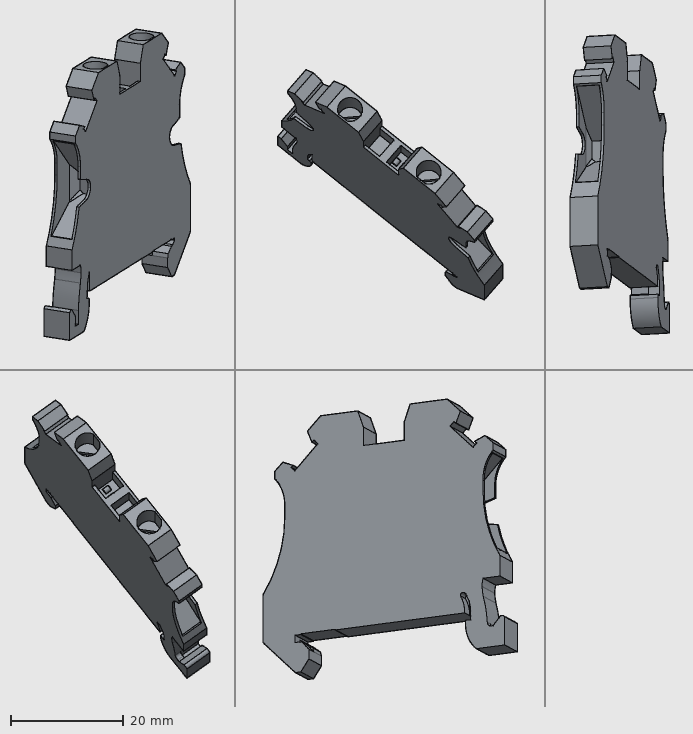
import cadquery as cq
import math


thickness = 5.15
length = 48.0
height = 46.85
rear_y = length / 2
front_y = -length / 2

skin = 0.5
cavity_x0 = skin
cavity_x1 = thickness - skin
cavity_width = cavity_x1 - cavity_x0

waist_y = 19.7
waist_top_z = 31.3
waist_bottom_z = 29.0
ear_radius = 7.25
flank_radius = 24.3
ear_y = 21.7

notch_half = 4.05
notch_floor_z = 40.3
notch_flare_z = 43.7
tower_inner_y = 5.2
tower_outer_y = 12.55

rail_z = 6.9
relief_y0 = 9.7
relief_y1 = 16.5
relief_depth = 0.13
foot_step_x = 2.0

hook_gap_y = 17.6
hook_tip_y = 14.9
hook_tip_top_z = 4.0
hook_tip_bottom_z = 2.2
hook_base_y = 16.5
hook_base_rear_y = 17.6
hook_rear_z = 6.3

ledge_y = -23.05
ledge_z = 12.85
slot_y = -16.05
slot_top = (-16.2, 10.4)
clip_root = (-19.7, ledge_z)
clip_waist = (-19.5, 11.35)
clip_bend = (-19.75, 9.5)
clip_valley_start = (-20.55, 4.6)
clip_valley_z = 3.85
clip_valley_y0 = -21.3
clip_valley_y1 = -21.7
clip_lip = (-23.15, 5.5)
clip_lip_front_z = 5.2
clip_base_y = -18.35
clip_nose_y = -16.2
clip_nose_bottom_z = 4.9
clip_nose_z = 5.5
clip_neck_z = 7.1


def arc_drop(radius, rise):
    """Sideways departure of an arc from its tangent after a given rise."""
    return radius - math.sqrt(radius**2 - rise**2)


def arc_rise(radius, drop):
    """Distance along the tangent at which an arc has departed by a given drop."""
    return math.sqrt(radius**2 - (radius - drop)**2)


def middle(a, b):
    return (a + b) / 2


def ear_point(z):
    return (waist_y + arc_drop(ear_radius, z - waist_top_z), z)


def flank_point(z):
    return (waist_y + arc_drop(flank_radius, waist_bottom_z - z), z)


def mirrored(point):
    return (-point[0], point[1])


ear_bottom_z = waist_top_z + arc_rise(ear_radius, ear_y - waist_y)
rear_flank_z = waist_bottom_z - arc_rise(flank_radius, rear_y - waist_y)
front_flank_z = waist_bottom_z - arc_rise(flank_radius, -ledge_y - waist_y)

upper_edge = [
    (ear_y, ear_bottom_z),
    (ear_y, 37.65),
    (20.05, 39.2),
    (18.0, 38.35),
    (18.4, 38.0),
    (17.7, 37.3),
    (13.15, 41.75),
    (13.9, 42.5),
    (14.3, 42.15),
    (15.2, 44.3),
    (tower_outer_y, height),
    (tower_inner_y, height),
    (notch_half, notch_flare_z),
    (notch_half, notch_floor_z),
]


def body_outline(hook_top, clip_inner_edge):
    """Outline of the block, starting at the rear flank and going over the top to the front.

    hook_top lists the points along the top of the fixed hook,
    clip_inner_edge draws the spring clip from its nose to the rail underside.
    """
    outline = (
        cq.Workplane("YZ")
        .moveTo(rear_y, rear_flank_z)
        .threePointArc(
            flank_point(middle(rear_flank_z, waist_bottom_z)), flank_point(waist_bottom_z)
        )
        .lineTo(*ear_point(waist_top_z))
        .threePointArc(ear_point(middle(waist_top_z, ear_bottom_z)), upper_edge[0])
    )
    for point in upper_edge[1:]:
        outline = outline.lineTo(*point)
    for point in reversed(upper_edge):
        outline = outline.lineTo(*mirrored(point))
    outline = (
        outline
        .threePointArc(
            mirrored(ear_point(middle(waist_top_z, ear_bottom_z))),
            mirrored(ear_point(waist_top_z)),
        )
        .lineTo(*mirrored(flank_point(waist_bottom_z)))
        .threePointArc(
            mirrored(flank_point(middle(front_flank_z, waist_bottom_z))),
            (ledge_y, front_flank_z),
        )
        .lineTo(ledge_y, ledge_z)
        .lineTo(*clip_root)
        .threePointArc((-19.55, 12.1), clip_waist)
        .threePointArc((-19.6, 10.4), clip_bend)
        .threePointArc((-20.25, 7.2), clip_valley_start)
        .threePointArc((-20.8, 4.05), (clip_valley_y0, clip_valley_z))
        .lineTo(clip_valley_y1, clip_valley_z)
        .lineTo(*clip_lip)
        .threePointArc((-23.7, 5.47), (front_y, clip_lip_front_z))
        .lineTo(front_y, 0)
        .lineTo(clip_base_y, 0)
        .threePointArc((-16.85, 1.95), (clip_nose_y, clip_nose_bottom_z))
        .lineTo(clip_nose_y, clip_nose_z)
    )
    outline = clip_inner_edge(outline)
    outline = (
        outline
        .lineTo(relief_y0, rail_z)
        .lineTo(relief_y0, rail_z + relief_depth)
        .lineTo(relief_y1, rail_z + relief_depth)
        .lineTo(relief_y1, rail_z)
        .lineTo(hook_gap_y, rail_z)
    )
    for point in hook_top:
        outline = outline.lineTo(*point)
    return (
        outline
        .lineTo(hook_tip_y, hook_tip_top_z)
        .lineTo(hook_tip_y, hook_tip_bottom_z)
        .lineTo(hook_base_y, 0)
        .lineTo(hook_base_rear_y, 0)
        .lineTo(rear_y, hook_rear_z)
        .close()
    )


near_hook_top = [(hook_gap_y, 5.6), (16.2, 5.45)]
far_hook_top = [(hook_gap_y, 6.5), (16.9, 5.9), (16.4, 5.75), (15.1, 4.75)]


def near_clip_edge(outline):
    """Clip edge with a curved, round-topped slot running up beside it."""
    neck_y = -17.25
    return (
        outline
        .lineTo(neck_y, clip_nose_z)
        .lineTo(neck_y, clip_neck_z)
        .threePointArc((-16.95, 8.85), slot_top)
        .threePointArc((-15.55, 10.7), (-15.2, 10.15))
        .threePointArc((-15.85, 8.6), (slot_y, rail_z))
    )


def far_clip_edge(outline):
    """Further in, the slot is straight on its inner side and the nose has a small ramp."""
    return (
        outline
        .lineTo(-16.6, 5.75)
        .lineTo(-17.05, 5.85)
        .lineTo(-17.0, clip_neck_z)
        .threePointArc((-16.85, 8.85), slot_top)
        .lineTo(slot_y, 10.5)
        .lineTo(slot_y, rail_z)
    )


def body():
    near_part = body_outline(near_hook_top, near_clip_edge).extrude(foot_step_x)
    far_part = body_outline(far_hook_top, far_clip_edge).extrude(thickness - foot_step_x)
    return near_part.union(far_part.translate((foot_step_x, 0, 0)))


release_slot_x = 1.2
release_slot_z = 2.0
release_slot_width = clip_valley_start[0] - clip_valley_y1


def release_slot():
    return (
        cq.Workplane("XY", origin=(release_slot_x, clip_valley_y1, release_slot_z))
        .box(thickness - release_slot_x, release_slot_width,
             clip_valley_start[1] - release_slot_z, centered=False)
    )


entry_floor_y = -21.9
entry_floor_z = 18.3
entry_roof_y = -21.25
entry_roof_z = 35.97
throat_y = -14.9
throat_end_y = -12.9
throat_end_x0 = 1.66
throat_end_x1 = 4.15
throat_end_floor_z = 23.85
throat_end_roof_z = 27.65
throat_corner = 0.6
throat_start_corner = 0.15
entry_clear_y = front_y - 1


def height_at_throat(mouth_y, mouth_z, end_z):
    """Height, where the side walls start to converge, of a straight slope to the throat's end."""
    return mouth_z + (end_z - mouth_z) * (throat_y - mouth_y) / (throat_end_y - mouth_y)


throat_floor_z = height_at_throat(entry_floor_y, entry_floor_z, throat_end_floor_z)
throat_roof_z = height_at_throat(entry_roof_y, entry_roof_z, throat_end_roof_z)


def throat_section(y, x0, x1, z0, z1, corner):
    return (
        cq.Workplane("XZ", origin=(0, y, 0))
        .polyline([
            (x0, z0 + corner),
            (x0 + corner, z0),
            (x1 - corner, z0),
            (x1, z0 + corner),
            (x1, z1),
            (x0, z1),
        ])
        .close()
        .wire().val()
    )


def wire_entry():
    funnel = (
        cq.Workplane("YZ", origin=(cavity_x0, 0, 0))
        .polyline([
            (entry_clear_y, entry_floor_z),
            (entry_floor_y, entry_floor_z),
            (throat_y, throat_floor_z),
            (throat_y, throat_roof_z),
            (entry_roof_y, entry_roof_z),
            (entry_clear_y, entry_roof_z),
        ])
        .close()
        .extrude(cavity_width)
    )
    throat = cq.Solid.makeLoft([
        throat_section(throat_y, cavity_x0, cavity_x1, throat_floor_z, throat_roof_z,
                       throat_start_corner),
        throat_section(throat_end_y, throat_end_x0, throat_end_x1, throat_end_floor_z,
                       throat_end_roof_z, throat_corner),
    ], True)
    return funnel.union(cq.Workplane(throat))


opening_roof_z = 28.9
opening_floor_z = 23.85
opening_roof_end = (-17.4, 28.2)
opening_tip = (-15.7, 26.2)
opening_floor_end = (-17.25, 24.4)
opening_edge_y = -20.4


def side_wall_opening():
    return (
        cq.Workplane("YZ", origin=(cavity_x1, 0, 0))
        .moveTo(entry_clear_y, opening_roof_z)
        .lineTo(-waist_y, opening_roof_z)
        .lineTo(*opening_roof_end)
        .threePointArc((-16.1, 27.55), opening_tip)
        .threePointArc((-16.2, 25.1), opening_floor_end)
        .lineTo(opening_edge_y, opening_floor_z)
        .lineTo(entry_clear_y, opening_floor_z)
        .close()
        .extrude(skin)
    )


screw_x = 2.83
screw_y = 9.12
screw_radius = 2.2
screw_flat_x = 4.82
screw_head_depth = 6.0
slot_width = 0.82
slot_depth = 1.0
slot_angle = -45


def screw_bore(y):
    head_z = height - screw_head_depth
    bore = (
        cq.Workplane("XY", origin=(screw_x, y, head_z))
        .circle(screw_radius)
        .extrude(screw_head_depth)
    )
    slot = (
        cq.Workplane("XY", origin=(screw_x, y, head_z - slot_depth))
        .transformed(rotate=(0, 0, slot_angle))
        .rect(2 * screw_radius, slot_width)
        .extrude(slot_depth)
        .intersect(bore.translate((0, 0, -slot_depth)))
    )
    envelope = (
        cq.Workplane("XY", origin=(0, y - screw_radius, head_z - slot_depth))
        .box(screw_flat_x, 2 * screw_radius, screw_head_depth + slot_depth, centered=False)
    )
    return bore.union(slot).intersect(envelope)


pocket_x0 = 0.62
pocket_x1 = 4.62
pocket_inner_rear_y = 0.85
pocket_inner_front_y = -0.75
pocket_depth = 4.0
pocket_floor_z = notch_floor_z - pocket_depth


def bridge_pocket(y0, y1):
    return (
        cq.Workplane("XY", origin=(pocket_x0, y0, pocket_floor_z))
        .box(pocket_x1 - pocket_x0, y1 - y0, pocket_depth, centered=False)
    )


rib_x0 = 1.97
rib_x1 = 3.2
rib_radius = 0.55
rib_ys = (3.1, 1.42)


def contact_rib(y):
    return (
        cq.Workplane("YZ", origin=(rib_x0, y, pocket_floor_z))
        .circle(rib_radius)
        .extrude(rib_x1 - rib_x0)
    )


block = body().cut(release_slot())

for opening in (wire_entry(), side_wall_opening()):
    block = block.cut(opening).cut(opening.mirror("XZ"))

for side in (1, -1):
    block = block.cut(screw_bore(side * screw_y))

block = block.cut(bridge_pocket(pocket_inner_rear_y, notch_half))
block = block.cut(bridge_pocket(-notch_half, pocket_inner_front_y))
for rib_y in rib_ys:
    block = block.union(contact_rib(rib_y))

result = block